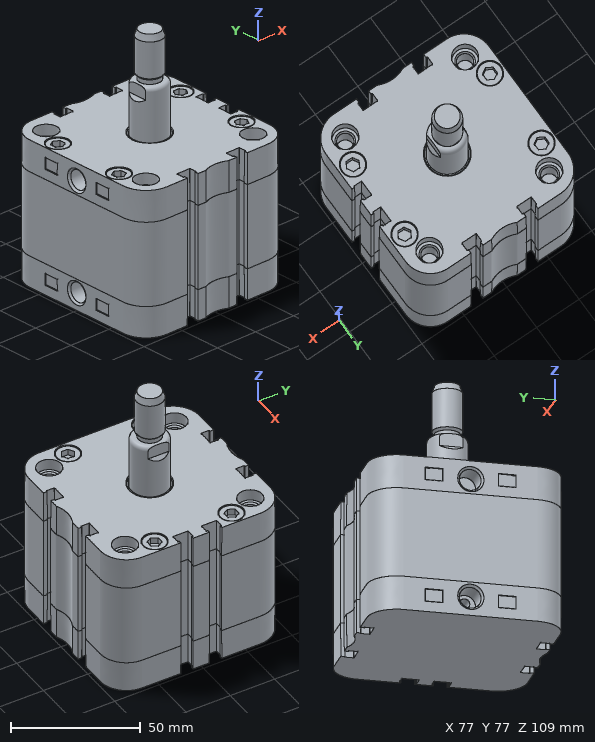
import cadquery as cq
import math

side = 77.0
corner_radius = 11.9
total_height = 109.0
body_height = 64.0
cap_height = 13.7
cap_draft = 0.09

mouth_width = 5.5
chamber_width = 6.6
slot_depth = 5.3
lip_depth = 1.9
slot_offset = 13.0
side_slot_depth = 4.9
side_lip_depth = 1.4
side_slot_offset = 6.4

scallop_half_width = 6.0
scallop_depth = 1.4
scallop_edge_radius = 1.5

port_diameter = 8.6
port_mouth_diameter = 10.5
port_mouth_depth = 1.0
port_depth = 10.0
port_from_end = 7.6
air_hole_diameter = 4.0
air_hole_rise = 0.9
air_hole_length = 10.0

label_width = 7.0
label_height = 5.1
label_depth = 0.7
label_offset = 14.5
label_from_end = 6.9

mount_offset = 28.2
mount_diameter = 6.6
mount_sink_diameter = 8.0
mount_counterbore_diameter = 10.5
mount_counterbore_depth = 5.0

screw_x = 32.3
screw_y = 17.3
screw_recess_diameter = 10.5
screw_head_diameter = 10.0
screw_edge_chamfer = 0.1
screw_head_drop = 0.3
screw_groove_depth = 4.4
socket_flats = 5.0
socket_depth = 3.0

rod_diameter = 16.0
rod_bore_diameter = 16.6
rod_seat_diameter = 17.7
rod_seat_mouth_diameter = 18.4
rod_seat_depth = 0.4
shoulder_height = 87.2
shoulder_radius = 1.9
flats_width = 13.0
flats_bottom = 81.9
undercut_diameter = 10.0
thread_diameter = 12.0
thread_bottom = 90.1
thread_tip_length = 2.9

half = side / 2
joint_height = body_height - cap_height
barrel_height = body_height - 2 * cap_height
draft_angle = math.degrees(math.atan(cap_draft / cap_height))


def t_slot_points(centre, depth, lip):
    """Corners of a T-slot as (position along the face, depth below it), in rising position."""
    mouth = mouth_width / 2
    chamber = chamber_width / 2
    return [
        (centre - mouth, 0),
        (centre - mouth, lip),
        (centre - chamber, lip),
        (centre - chamber, depth),
        (centre + chamber, depth),
        (centre + chamber, lip),
        (centre + mouth, lip),
        (centre + mouth, 0),
    ]


def profile(base_height):
    """Outline shared by the barrel and both caps, running counterclockwise from the -X face."""
    flat = half - corner_radius
    diagonal = flat + corner_radius * math.sqrt(0.5)
    y_face_slots = [t_slot_points(c, slot_depth, lip_depth) for c in (-slot_offset, slot_offset)]
    side_slots = [
        t_slot_points(c, side_slot_depth, side_lip_depth) for c in (-side_slot_offset, side_slot_offset)
    ]
    outline = cq.Workplane("XY", origin=(0, 0, base_height)).moveTo(-half, -flat)
    outline = outline.threePointArc((-diagonal, -diagonal), (-flat, -half))
    for x, depth in y_face_slots[0]:
        outline = outline.lineTo(x, depth - half)
    outline = outline.lineTo(-scallop_half_width, -half)
    outline = outline.threePointArc((0, scallop_depth - half), (scallop_half_width, -half))
    for x, depth in y_face_slots[1]:
        outline = outline.lineTo(x, depth - half)
    outline = outline.lineTo(flat, -half).threePointArc((diagonal, -diagonal), (half, -flat))
    for y, depth in side_slots[0] + side_slots[1]:
        outline = outline.lineTo(half - depth, y)
    outline = outline.lineTo(half, flat).threePointArc((diagonal, diagonal), (flat, half))
    for x, depth in y_face_slots[0]:
        outline = outline.lineTo(-x, half - depth)
    outline = outline.lineTo(scallop_half_width, half)
    outline = outline.threePointArc((0, half - scallop_depth), (-scallop_half_width, half))
    for x, depth in y_face_slots[1]:
        outline = outline.lineTo(-x, half - depth)
    outline = outline.lineTo(-flat, half).threePointArc((-diagonal, diagonal), (-half, flat))
    return outline.close()


def cone_cutter(top_diameter, bottom_diameter, height):
    """Solid of revolution around Z that narrows downwards from Z = 0."""
    return (
        cq.Workplane("XZ")
        .polyline([(0, 0), (top_diameter / 2, 0), (bottom_diameter / 2, -height), (0, -height)])
        .close()
        .revolve(360, (0, 0), (0, 1))
    )


def cut_port(cap, axis_height):
    """Drill an air port with a countersunk mouth into the -X face."""
    drill = cq.Workplane("YZ", origin=(-half, 0, axis_height)).circle(port_diameter / 2).extrude(port_depth)
    mouth = cone_cutter(port_mouth_diameter, port_diameter, port_mouth_depth)
    mouth = mouth.rotate((0, 0, 0), (0, 1, 0), -90).translate((-half, 0, axis_height))
    return cap.cut(drill).cut(mouth)


def cut_labels(cap, centre_height):
    """Sink the two shallow label pockets into the -X face."""
    pockets = (
        cq.Workplane("YZ", origin=(-half, 0, centre_height))
        .pushPoints([(-label_offset, 0), (label_offset, 0)])
        .rect(label_width, label_height)
        .extrude(label_depth)
    )
    return cap.cut(pockets)


def make_barrel():
    barrel = profile(cap_height).extrude(barrel_height)
    reach = scallop_edge_radius / 2
    for x in (-scallop_half_width, scallop_half_width):
        for y in (-half, half):
            corner = cq.selectors.BoxSelector(
                (x - reach, y - reach, cap_height),
                (x + reach, y + reach, joint_height),
            )
            barrel = barrel.edges("|Z").edges(corner).fillet(scallop_edge_radius)
    return barrel


def make_rear_cap():
    cap = profile(cap_height).extrude(-cap_height, taper=draft_angle)
    cap = cut_port(cap, port_from_end)
    cap = cut_labels(cap, label_from_end)
    air_hole = (
        cq.Workplane("YZ", origin=(port_depth - half, 0, port_from_end + air_hole_rise))
        .circle(air_hole_diameter / 2)
        .extrude(air_hole_length)
    )
    return cap.cut(air_hole)


def cut_mounting_holes(cap):
    sink_depth = (mount_sink_diameter - mount_diameter) / 2
    floor_height = body_height - mount_counterbore_depth
    sink = cone_cutter(mount_sink_diameter, mount_diameter, sink_depth)
    for x in (-mount_offset, mount_offset):
        for y in (-mount_offset, mount_offset):
            top = cq.Workplane("XY", origin=(x, y, body_height))
            cap = cap.cut(top.circle(mount_counterbore_diameter / 2).extrude(-mount_counterbore_depth))
            cap = cap.cut(top.circle(mount_diameter / 2).extrude(-cap_height))
            cap = cap.cut(sink.translate((x, y, floor_height)))
    return cap


def cut_screw_heads(cap):
    recess_radius = screw_recess_diameter / 2
    head_radius = screw_head_diameter / 2
    head_clearance = (
        cq.Workplane("XZ")
        .polyline([
            (0, 0),
            (0, -screw_head_drop),
            (head_radius - screw_edge_chamfer, -screw_head_drop),
            (head_radius, -screw_head_drop - screw_edge_chamfer),
            (head_radius, -screw_groove_depth),
            (recess_radius, -screw_groove_depth),
            (recess_radius, 0),
        ])
        .close()
        .revolve(360, (0, 0), (0, 1))
    )
    socket_corners = socket_flats / math.cos(math.radians(30))
    for x in (-screw_x, screw_x):
        turn = 90 if x < 0 else 0
        for y in (-screw_y, screw_y):
            top = cq.Workplane("XY", origin=(x, y, body_height))
            socket = top.transformed(rotate=(0, 0, turn)).polygon(6, socket_corners).extrude(-socket_depth)
            cap = cap.cut(head_clearance.translate((x, y, body_height))).cut(socket)
    return cap


def make_front_cap():
    cap = profile(joint_height).extrude(cap_height, taper=draft_angle)
    cap = cut_port(cap, body_height - port_from_end)
    cap = cut_labels(cap, body_height - label_from_end)
    cap = cut_mounting_holes(cap)
    cap = cut_screw_heads(cap)
    joint = cq.Workplane("XY", origin=(0, 0, joint_height))
    rod_bore = joint.circle(rod_bore_diameter / 2).extrude(cap_height)
    rod_seat = cone_cutter(rod_seat_mouth_diameter, rod_seat_diameter, rod_seat_depth)
    return cap.cut(rod_bore).cut(rod_seat.translate((0, 0, body_height)))


def make_rod():
    rod_radius = rod_diameter / 2
    undercut_radius = undercut_diameter / 2
    thread_radius = thread_diameter / 2
    thread_chamfer = thread_radius - undercut_radius
    arc_inset = shoulder_radius * (1 - math.sqrt(0.5))
    rod = (
        cq.Workplane("XZ")
        .moveTo(0, joint_height)
        .lineTo(rod_radius, joint_height)
        .lineTo(rod_radius, shoulder_height - shoulder_radius)
        .threePointArc(
            (rod_radius - arc_inset, shoulder_height - arc_inset),
            (rod_radius - shoulder_radius, shoulder_height),
        )
        .lineTo(undercut_radius, shoulder_height)
        .lineTo(undercut_radius, thread_bottom - thread_chamfer)
        .lineTo(thread_radius, thread_bottom)
        .lineTo(thread_radius, total_height - thread_tip_length)
        .lineTo(undercut_radius, total_height)
        .lineTo(0, total_height)
        .close()
        .revolve(360, (0, 0), (0, 1))
    )
    flat_x = flats_width / 2
    run_out = rod_radius - flat_x
    for direction in (-1, 1):
        flat = (
            cq.Workplane("XZ")
            .polyline([
                (direction * flat_x, shoulder_height),
                (direction * flat_x, flats_bottom),
                (direction * rod_radius, flats_bottom - run_out),
                (direction * rod_radius, shoulder_height),
            ])
            .close()
            .extrude(rod_radius, both=True)
        )
        rod = rod.cut(flat)
    return rod


barrel = make_barrel()
rear_cap = make_rear_cap()
front_cap = make_front_cap()
rod = make_rod()

result = cq.Compound.makeCompound([barrel.val(), rear_cap.val(), front_cap.val(), rod.val()])